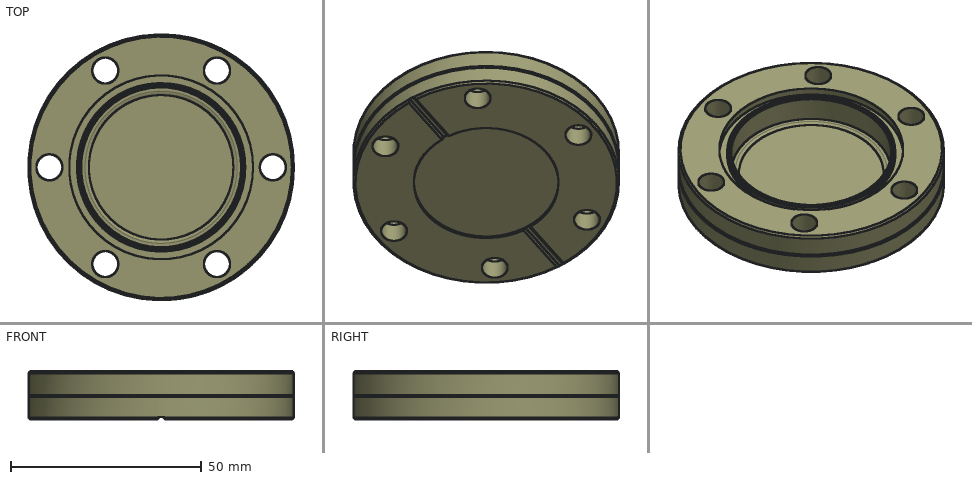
import cadquery as cq

outer_diameter = 69.8
total_height = 12.7
seam_height = 6.5
edge_chamfer = 0.55
land_diameter = 69.65
land_height = 0.6

bolt_count = 6
bolt_hole_diameter = 6.8
bolt_circle_diameter = 58.7

recess_diameter = 48.3
recess_depth = 2.1
lip_diameter = 44.25
lip_depth = 1.0
lip_groove_outer_diameter = 43.3
lip_groove_inner_diameter = 43.0
lip_groove_depth = 0.3
bore_diameter = 42.0

floor_height = 4.8
window_diameter = 38.0
rim_diameter = 40.0
rim_drop = 0.35
window_top = floor_height - rim_drop
rim_width = (rim_diameter - window_diameter) / 2
rim_radius = (rim_width**2 + rim_drop**2) / (2 * rim_drop)

leak_groove_top_width = 1.1
leak_groove_bottom_width = 2.2
leak_groove_depth = 0.6


def disc(diameter, bottom, top):
    """Cylinder about Z between two heights."""
    return cq.Workplane("XY").workplane(offset=bottom).circle(diameter / 2).extrude(top - bottom)


def bolt_holes():
    """Cutters for the bolt circle, through the full stack."""
    return (
        cq.Workplane("XY")
        .polarArray(bolt_circle_diameter / 2, 0, 360, bolt_count)
        .circle(bolt_hole_diameter / 2)
        .extrude(total_height)
    )


def rounded_rim():
    """Cutter that rolls the floor over, level at its outer edge, down to the window."""
    return (
        cq.Workplane("XZ")
        .moveTo(rim_diameter / 2, floor_height)
        .radiusArc((window_diameter / 2, window_top), -rim_radius)
        .lineTo(window_diameter / 2, floor_height)
        .close()
        .revolve(360, (0, 0, 0), (0, 1, 0))
    )


def leak_groove():
    """Trapezoidal groove along Y, narrowing upward."""
    return (
        cq.Workplane("XZ")
        .moveTo(-leak_groove_bottom_width / 2, 0)
        .lineTo(leak_groove_bottom_width / 2, 0)
        .lineTo(leak_groove_top_width / 2, leak_groove_depth)
        .lineTo(-leak_groove_top_width / 2, leak_groove_depth)
        .close()
        .extrude(outer_diameter / 2, both=True)
    )


def make_upper_ring():
    """Plain upper bolt ring that sits around the hub of the lower flange."""
    ring = disc(outer_diameter, seam_height, total_height)
    ring = ring.faces(">Z").edges().chamfer(edge_chamfer)
    return ring.cut(disc(recess_diameter, seam_height, total_height)).cut(bolt_holes())


def make_lower_flange():
    """Lower flange with its hub, grooved lip, bore, rounded rim and window opening."""
    land_bottom = seam_height - land_height
    flange = disc(outer_diameter, 0, land_bottom)
    flange = flange.faces("<Z").edges().chamfer(edge_chamfer)
    flange = flange.union(disc(land_diameter, land_bottom, seam_height))

    lip_top = total_height - lip_depth
    hub_top = total_height - recess_depth
    flange = flange.union(disc(recess_diameter, seam_height, hub_top))
    flange = flange.union(disc(lip_diameter, hub_top, lip_top))

    groove_bottom = lip_top - lip_groove_depth
    lip_groove = disc(lip_groove_outer_diameter, groove_bottom, lip_top)
    lip_groove = lip_groove.cut(disc(lip_groove_inner_diameter, groove_bottom, lip_top))
    flange = flange.cut(lip_groove)

    flange = flange.cut(disc(bore_diameter, floor_height, lip_top))
    flange = flange.cut(disc(window_diameter, 0, floor_height))
    return flange.cut(rounded_rim()).cut(leak_groove()).cut(bolt_holes())


def make_window():
    """Plain disc filling the opening, cleared by the leak-check groove."""
    return disc(window_diameter, leak_groove_depth, window_top)


upper_ring = make_upper_ring()
lower_flange = make_lower_flange()
window = make_window()

result = cq.Compound.makeCompound([upper_ring.val(), lower_flange.val(), window.val()])